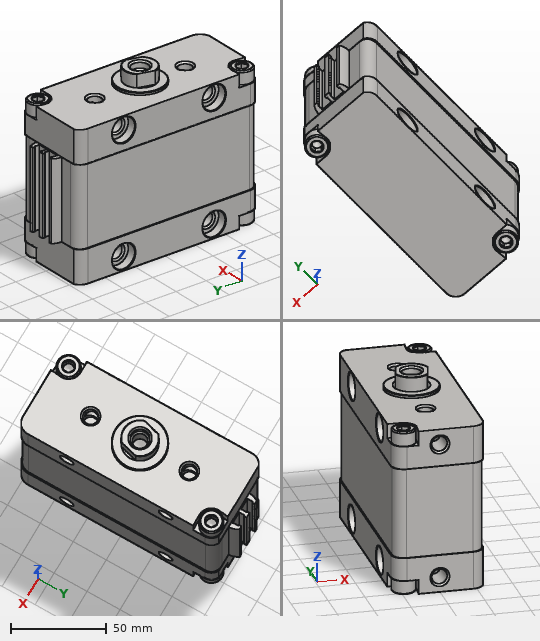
import cadquery as cq
import math

TOTAL_LENGTH = 126.5
TOTAL_HEIGHT = 102.0
CAP_WIDTH = 50.0
CAP_HEIGHT = 20.9
BARREL_HEIGHT = 50.3
COLLAR_HEIGHT = 1.6

BARREL_Z = CAP_HEIGHT
UPPER_CAP_Z = BARREL_Z + BARREL_HEIGHT
TOP_Z = UPPER_CAP_Z + CAP_HEIGHT
COLLAR_TOP_Z = TOP_Z + COLLAR_HEIGHT

CORNER_X = 35.9 / 2
CORNER_Y = 107.5 / 2
CAP_CORNER_RADIUS = CAP_WIDTH / 2 - CORNER_X
BARREL_CORNER_RADIUS = 6.3
FRONT_Y = -(CORNER_Y + CAP_CORNER_RADIUS)
BACK_Y = CORNER_Y + BARREL_CORNER_RADIUS

HEAD_DIAMETER = 13.0
HEAD_TOP_DIAMETER = 11.4
HEAD_CHAMFER_HEIGHT = 0.8
HEAD_HEIGHT = 8.0
SOCKET_WIDTH = 6.0
SOCKET_ANGLE = 30.0
SOCKET_DEPTH = 5.0
SOCKET_RIM_DIAMETER = 7.1
POCKET_RADIUS = 7.1
POCKET_WIDTH = 13.4

THREAD_DIAMETER = 8.3
THREAD_RIM_DIAMETER = 10.5
THREAD_DEPTH = 15.2
HOLE_OFFSET = 8.5
HOLE_Y = 30.0
COUNTERBORE_DIAMETER = 15.0
COUNTERBORE_RIM_DIAMETER = 15.8
COUNTERBORE_DEPTH = 6.0
MOUNT_RIM_DIAMETER = 10.4

COLLAR_DIAMETER = 30.0
COLLAR_CHAMFER = 0.4
ROD_DIAMETER = 20.0
ROD_FLAT_WIDTH = 17.0
ROD_FLAT_ANGLE = -15.0
ROD_CHAMFER = 0.3
ROD_MOUTH_DIAMETER = 12.5
ROD_RELIEF_DIAMETER = 10.5
ROD_RELIEF_DEPTH = 4.4
ROD_BORE_DIAMETER = 8.3
ROD_BORE_DEPTH = 15.2

DRILL_POINT_ANGLE = 118.0

RAIL_TIP_Y = TOTAL_LENGTH + FRONT_Y
RAIL_HALF_WIDTH = 10.8
RAIL_TIP_HALF_WIDTH = 9.0
RAIL_FLOOR_HEIGHT = 0.8
LIP_HEIGHT = 1.8
SLOT_INNER_X = 1.0
SLOT_OUTER_X = 7.6
LIP_DEPTH = 0.5


def cone_height(diameter):
    """Height of the conical end that a drill of this diameter leaves."""
    return diameter / 2 / math.tan(math.radians(DRILL_POINT_ANGLE / 2))


def turned(profile):
    """Solid of revolution about Z from (radius, Z) points."""
    return cq.Workplane("XZ").polyline(profile).close().revolve(360, (0, 0), (0, 1))


def rounded_block(corner_radius, z, height):
    """Block whose vertical corners are rounded about the corner centres."""
    return (
        cq.Workplane("XY", origin=(0, 0, z))
        .rect(2 * (CORNER_X + corner_radius), 2 * (CORNER_Y + corner_radius))
        .extrude(height)
        .edges("|Z")
        .fillet(corner_radius)
    )


def threaded_hole():
    """Cutter for a chamfered blind hole that goes down from the origin."""
    rim = THREAD_RIM_DIAMETER / 2
    bore = THREAD_DIAMETER / 2
    return turned([(0, 0), (rim, 0), (bore, bore - rim), (bore, -THREAD_DEPTH), (0, -THREAD_DEPTH)])


def mounting_hole():
    """Cutter for a counterbored through hole that goes down from the origin."""
    rim = COUNTERBORE_RIM_DIAMETER / 2
    wall = COUNTERBORE_DIAMETER / 2
    inner_rim = MOUNT_RIM_DIAMETER / 2
    bore = THREAD_DIAMETER / 2
    return turned([
        (0, 0),
        (rim, 0),
        (wall, wall - rim),
        (wall, -COUNTERBORE_DEPTH),
        (inner_rim, -COUNTERBORE_DEPTH),
        (bore, -COUNTERBORE_DEPTH + bore - inner_rim),
        (bore, -CAP_WIDTH),
        (0, -CAP_WIDTH),
    ])


def screw_pocket():
    """Cutter for the pocket at the -X, -Y corner of the upper cap."""
    side_x = -CAP_WIDTH / 2
    outline = (
        cq.Workplane("XY", origin=(0, 0, TOP_Z - HEAD_HEIGHT))
        .moveTo(side_x, FRONT_Y)
        .lineTo(side_x + POCKET_WIDTH, FRONT_Y)
        .lineTo(-CORNER_X + POCKET_RADIUS, -CORNER_Y)
        .radiusArc((-CORNER_X, -CORNER_Y + POCKET_RADIUS), -POCKET_RADIUS)
        .lineTo(side_x, -CORNER_Y + POCKET_RADIUS)
        .close()
    )
    return outline.extrude(HEAD_HEIGHT)


def screw_head():
    """Socket screw head on the pocket floor at the -X, -Y corner, flush with the upper cap."""
    radius = HEAD_DIAMETER / 2
    head = turned([
        (0, -HEAD_HEIGHT),
        (radius, -HEAD_HEIGHT),
        (radius, -HEAD_CHAMFER_HEIGHT),
        (HEAD_TOP_DIAMETER / 2, 0),
        (0, 0),
    ])
    corner_diameter = SOCKET_WIDTH / math.cos(math.pi / 6)
    hexagon = (
        cq.Workplane("XY")
        .polygon(6, corner_diameter)
        .extrude(-SOCKET_DEPTH)
        .rotate((0, 0, 0), (0, 0, 1), SOCKET_ANGLE)
    )
    rim = SOCKET_RIM_DIAMETER / 2
    entry = turned([(0, 0), (rim, 0), (0, -rim)])
    point = turned([
        (0, -SOCKET_DEPTH),
        (SOCKET_WIDTH / 2, -SOCKET_DEPTH),
        (0, -SOCKET_DEPTH - cone_height(SOCKET_WIDTH)),
    ])
    head = head.cut(hexagon).cut(entry).cut(point)
    return head.translate((-CORNER_X, -CORNER_Y, TOP_Z))


def cap_with_screws():
    """Upper cap without collar: mounting holes, a port, and screws on one diagonal."""
    trimmed_length = BACK_Y - FRONT_Y
    cap = rounded_block(CAP_CORNER_RADIUS, UPPER_CAP_Z, CAP_HEIGHT).intersect(
        cq.Workplane("XY", origin=(0, (BACK_Y + FRONT_Y) / 2, UPPER_CAP_Z))
        .rect(CAP_WIDTH, trimmed_length)
        .extrude(CAP_HEIGHT)
    )
    hole_z = TOP_Z - HOLE_OFFSET
    port = threaded_hole().rotate((0, 0, 0), (1, 0, 0), 90)
    cap = cap.cut(port.translate((0, FRONT_Y, hole_z)))
    mount = mounting_hole().rotate((0, 0, 0), (0, 1, 0), -90)
    for y in (-HOLE_Y, HOLE_Y):
        cap = cap.cut(mount.translate((-CAP_WIDTH / 2, y, hole_z)))
    for angle in (0, 180):
        cap = cap.cut(screw_pocket().rotate((0, 0, 0), (0, 0, 1), angle))
        cap = cap.union(screw_head().rotate((0, 0, 0), (0, 0, 1), angle))
    return cap


def make_lower_cap():
    return cap_with_screws().mirror("XY", (0, 0, TOP_Z / 2))


def make_upper_cap():
    """Cap with the rod collar, the rod bore and two threaded holes in its end face."""
    collar = (
        cq.Workplane("XY", origin=(0, 0, TOP_Z))
        .circle(COLLAR_DIAMETER / 2)
        .extrude(COLLAR_HEIGHT)
        .faces(">Z")
        .chamfer(COLLAR_CHAMFER)
    )
    rod_bore = (
        cq.Workplane("XY", origin=(0, 0, UPPER_CAP_Z))
        .circle(ROD_DIAMETER / 2)
        .extrude(CAP_HEIGHT + COLLAR_HEIGHT)
    )
    cap = cap_with_screws().union(collar).cut(rod_bore)
    for y in (-HOLE_Y, HOLE_Y):
        cap = cap.cut(threaded_hole().translate((0, y, TOP_Z)))
    return cap


def sensor_slot(side):
    """Cutter for one T-shaped slot on the given side of the middle web."""
    floor_y = BACK_Y + RAIL_FLOOR_HEIGHT
    lip_y = RAIL_TIP_Y - LIP_HEIGHT
    return (
        cq.Workplane("XY", origin=(0, 0, BARREL_Z))
        .polyline([
            (side * SLOT_INNER_X, floor_y),
            (side * SLOT_OUTER_X, floor_y),
            (side * SLOT_OUTER_X, lip_y),
            (side * (SLOT_OUTER_X - LIP_DEPTH), lip_y),
            (side * (SLOT_OUTER_X - LIP_DEPTH), RAIL_TIP_Y),
            (side * (SLOT_INNER_X + LIP_DEPTH), RAIL_TIP_Y),
            (side * (SLOT_INNER_X + LIP_DEPTH), lip_y),
            (side * SLOT_INNER_X, lip_y),
        ])
        .close()
        .extrude(BARREL_HEIGHT)
    )


def make_barrel():
    """Rounded barrel with a two-slot sensor rail along its rear face."""
    barrel = rounded_block(BARREL_CORNER_RADIUS, BARREL_Z, BARREL_HEIGHT)
    side_run = RAIL_HALF_WIDTH - RAIL_TIP_HALF_WIDTH
    side_rise = RAIL_TIP_Y - BACK_Y
    side_radius = (side_run**2 + side_rise**2) / (2 * side_run)
    rail = (
        cq.Workplane("XY", origin=(0, 0, BARREL_Z))
        .moveTo(-RAIL_HALF_WIDTH, 0)
        .lineTo(RAIL_HALF_WIDTH, 0)
        .lineTo(RAIL_HALF_WIDTH, BACK_Y)
        .radiusArc((RAIL_TIP_HALF_WIDTH, RAIL_TIP_Y), -side_radius)
        .lineTo(-RAIL_TIP_HALF_WIDTH, RAIL_TIP_Y)
        .radiusArc((-RAIL_HALF_WIDTH, BACK_Y), -side_radius)
        .close()
        .extrude(BARREL_HEIGHT)
    )
    for side in (-1, 1):
        rail = rail.cut(sensor_slot(side))
    return barrel.union(rail)


def make_rod():
    """Rod with two wrench flats above the collar and a stepped blind hole in its end."""
    shank = (
        cq.Workplane("XY", origin=(0, 0, UPPER_CAP_Z))
        .circle(ROD_DIAMETER / 2)
        .extrude(COLLAR_TOP_Z - UPPER_CAP_Z)
    )
    flat_height = TOTAL_HEIGHT - COLLAR_TOP_Z
    plane = cq.Workplane("XY", origin=(0, 0, COLLAR_TOP_Z))
    flats = plane.rect(ROD_FLAT_WIDTH, ROD_DIAMETER).extrude(flat_height)
    end = plane.circle(ROD_DIAMETER / 2).extrude(flat_height).faces(">Z").chamfer(ROD_CHAMFER)
    end = end.intersect(flats).rotate((0, 0, 0), (0, 0, 1), ROD_FLAT_ANGLE)
    mouth = ROD_MOUTH_DIAMETER / 2
    relief = ROD_RELIEF_DIAMETER / 2
    bore = ROD_BORE_DIAMETER / 2
    hole = turned([
        (0, 0),
        (mouth, 0),
        (relief, relief - mouth),
        (relief, -ROD_RELIEF_DEPTH),
        (bore, -ROD_RELIEF_DEPTH + bore - relief),
        (bore, -ROD_BORE_DEPTH),
        (0, -ROD_BORE_DEPTH - cone_height(ROD_BORE_DIAMETER)),
    ])
    return shank.union(end).cut(hole.translate((0, 0, TOTAL_HEIGHT)))


lower_cap = make_lower_cap()
barrel = make_barrel()
upper_cap = make_upper_cap()
rod = make_rod()

result = cq.Compound.makeCompound([lower_cap.val(), barrel.val(), upper_cap.val(), rod.val()])